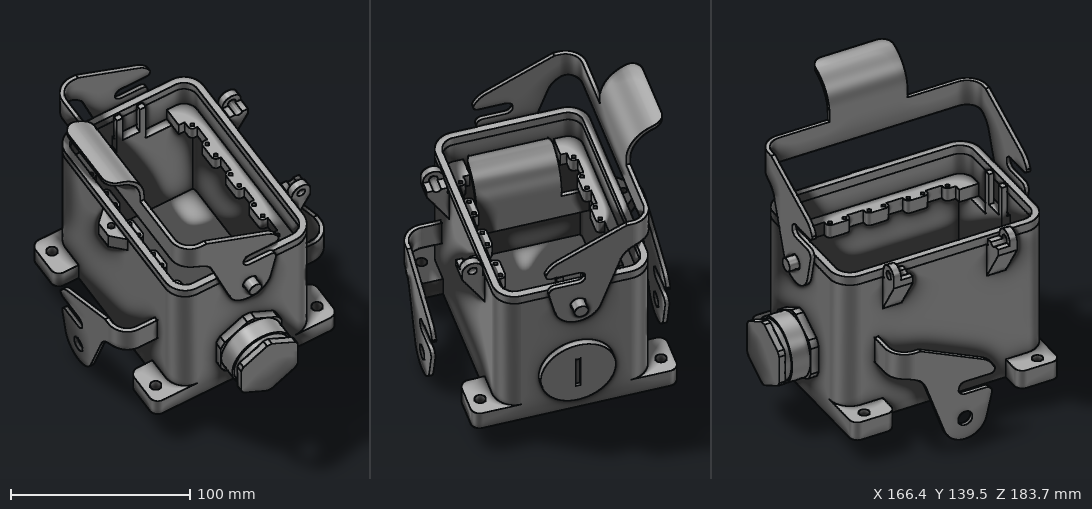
import cadquery as cq
import math


LENGTH = 132.1
WIDTH = 90.6
CORNER_R = 13.0
WALL = 4.2
FLOOR = WALL
BODY_TOP = 94.3
RIM_TOP = 100.0
INNER_LENGTH = LENGTH - 2 * WALL
INNER_WIDTH = WIDTH - 2 * WALL
INNER_R = CORNER_R - WALL

LEDGE_TOP = 80.7
LEDGE_HEIGHT = 8.5
LEDGE_BOTTOM = LEDGE_TOP - LEDGE_HEIGHT
OPENING_LENGTH = 98.3
OPENING_WIDTH = 60.7
END_OPENING_WIDTH = 53.0
TAB_PITCH = 25.0
NOTCH_PLACES = [i * TAB_PITCH for i in (-1.5, -0.5, 0.5, 1.5)]
NOTCH_WIDTH = 10.3
NOTCH_DEPTH = 4.5
TAB_R = 2.8
INSERT_HOLE_D = 2.4
INSERT_HOLE_SPACING = 9.2
INSERT_HOLE_Y = OPENING_WIDTH / 2 + TAB_R
END_WALL_X = 56.6

POST_TOP = 101.0
POST_THICKNESS = 3.3
POST_WIDTH = 3.9
POST_SPAN = 19.0

FOOT_HEIGHT = 12.1
FOOT_LENGTH = 26.8
FOOT_SPAN = 120.5
FOOT_R = 5.3
FOOT_HOLE_D = 6.5
FOOT_HOLE_X = 55.3
FOOT_HOLE_Y = 53.0

LUG_HEIGHT = 10.0
LUG_DEPTH = 7.9
LUG_BASE = 26.1
LUG_HOLE_D = 4.0
LUG_HOLE_OFFSET = 2.8

HINGE_Y = 52.4
HINGE_Z = 99.6
HINGE_R = 6.0
HINGE_HOLE_D = 5.1
HINGE_FOOT_Z = 72.8
EAR_OUTER_X = 39.3
EAR_THICKNESS = 4.6
CRADLE_LENGTH = 7.5
CRADLE_TOP = 98.5

PIN_D = 8.0
PIN_END_X = 75.9
PIN_Z = 87.3

ENTRY_Z = 32.0
PLUG_D = 44.0
PLUG_THICKNESS = 3.9
PLUG_SLOT_WIDTH = 3.0
PLUG_SLOT_LENGTH = 21.3
PLUG_SLOT_DEPTH = 1.8
FLANGE_FLATS = 39.9
FLANGE_D = 43.4
FLANGE_LENGTH = 5.1
SLEEVE_D = 39.3
SLEEVE_LENGTH = 11.5
NECK_D = 37.0
NECK_LENGTH = 3.9
NUT_FLATS = 37.3
NUT_D = 41.4
NUT_LENGTH = 4.0

LEVER_WIDTH = 139.5
SHEET = 2.5
BEND_R = 12.5
STRAP_REACH = 44.5
STRAP_LOW = 38.2
STRAP_HIGH = 54.8
PIVOT_R = 14.0
PIVOT_HOLE_D = 9.0
NECK_ANGLE = 70.6
NECK_FILLET = 14.9
HEEL_ANGLE = 103.0
HEEL_FILLET = 3.9
SLOT_RISE = 20.8
SLOT_WIDTH = 8.5
HOOK_FLANK = (-11.0, 36.4)
HOOK_MIDDLE = (-15.8, 33.0)
HOOK_SIDE = (-19.0, 28.3)
HOOK_NOSE = (-18.4, 26.1)
HOOK_TIP_REACH = -16.5
HOOK_RIDGE_REACH = 28.5
GRIP_WIDTH = 49.8
GRIP_START = 59.4
GRIP_R = 20.5
GRIP_CORNER_R = 7.5


def block(x0, x1, y0, y1, z0, z1):
    """Box between two opposite corners."""
    return cq.Workplane("XY").box(x1 - x0, y1 - y0, z1 - z0, centered=False).translate((x0, y0, z0))


def rounded_prism(length, width, radius, z0, z1):
    """Upright prism, centred on Z, with rounded vertical edges."""
    prism = cq.Workplane("XY").box(length, width, z1 - z0, centered=(True, True, False))
    return prism.edges("|Z").fillet(radius).translate((0, 0, z0))


def cavity(z0, z1):
    return rounded_prism(INNER_LENGTH, INNER_WIDTH, INNER_R, z0, z1)


def shell_with_feet():
    shell = rounded_prism(LENGTH, WIDTH, CORNER_R, 0, BODY_TOP)
    foot_x = (LENGTH - FOOT_LENGTH) / 2
    feet = (
        cq.Workplane("XY")
        .pushPoints([(-foot_x, 0), (foot_x, 0)])
        .box(FOOT_LENGTH, FOOT_SPAN, FOOT_HEIGHT, centered=(True, True, False))
        .edges("|Z")
        .fillet(FOOT_R)
    )
    holes = (
        cq.Workplane("XY")
        .rect(2 * FOOT_HOLE_X, 2 * FOOT_HOLE_Y, forConstruction=True)
        .vertices()
        .circle(FOOT_HOLE_D / 2)
        .extrude(FOOT_HEIGHT)
    )
    return shell.union(feet).cut(cavity(FLOOR, BODY_TOP)).cut(holes)


def ledge():
    """Plate around the cavity with rounded tabs, notches between them and small insert holes."""
    z0, z1 = LEDGE_BOTTOM, LEDGE_TOP
    half_opening = OPENING_WIDTH / 2
    plate = cavity(z0, z1)
    plate = plate.cut(block(-INNER_LENGTH / 2, INNER_LENGTH / 2,
                            -END_OPENING_WIDTH / 2, END_OPENING_WIDTH / 2, z0, z1))
    plate = plate.cut(block(-OPENING_LENGTH / 2, OPENING_LENGTH / 2, -half_opening, half_opening, z0, z1))

    notch_reach = half_opening + NOTCH_DEPTH
    for x in NOTCH_PLACES:
        notch = block(x - NOTCH_WIDTH / 2, x + NOTCH_WIDTH / 2, -notch_reach, notch_reach, z0, z1)
        plate = plate.cut(notch)
    tab_edges = cq.selectors.BoxSelector(
        (-OPENING_LENGTH / 2 + TAB_R, -half_opening - TAB_R / 2, z0),
        (OPENING_LENGTH / 2 - TAB_R, half_opening + TAB_R / 2, z1),
    )
    plate = plate.edges("|Z").edges(tab_edges).fillet(TAB_R)

    hole_places = []
    for notch_x in NOTCH_PLACES:
        for side in (-1, 1):
            x = notch_x + side * (TAB_PITCH - INSERT_HOLE_SPACING) / 2
            hole_places += [(x, -INSERT_HOLE_Y), (x, INSERT_HOLE_Y)]
    holes = (
        cq.Workplane("XY", origin=(0, 0, z0))
        .pushPoints(hole_places)
        .circle(INSERT_HOLE_D / 2)
        .extrude(LEDGE_HEIGHT)
    )
    return plate.cut(holes)


def end_walls():
    """Thick lower walls at both ends of the cavity, up to the underside of the ledge."""
    core = block(-END_WALL_X, END_WALL_X, -INNER_WIDTH / 2, INNER_WIDTH / 2, FLOOR, LEDGE_BOTTOM)
    return cavity(FLOOR, LEDGE_BOTTOM).cut(core)


def coding_posts():
    """Two posts on a low base on the -X end wall."""
    half_span = POST_SPAN / 2
    posts = block(-INNER_LENGTH / 2, -END_WALL_X, -half_span, half_span, LEDGE_BOTTOM, LEDGE_TOP)
    for y in (-half_span, half_span - POST_WIDTH):
        post = block(-END_WALL_X - POST_THICKNESS, -END_WALL_X, y, y + POST_WIDTH, LEDGE_TOP, POST_TOP)
        posts = posts.union(post)
    return posts


def front_lug():
    wall_y = -WIDTH / 2
    half_base = LUG_BASE / 2
    half_face = half_base - LUG_DEPTH
    return (
        cq.Workplane("XY", origin=(0, 0, BODY_TOP - LUG_HEIGHT))
        .polyline([
            (-half_base, wall_y),
            (-half_face, wall_y - LUG_DEPTH),
            (half_face, wall_y - LUG_DEPTH),
            (half_base, wall_y),
        ])
        .close()
        .extrude(LUG_HEIGHT)
        .cut(
            cq.Workplane("XY", origin=(0, wall_y - LUG_HOLE_OFFSET, BODY_TOP - LUG_HEIGHT))
            .circle(LUG_HOLE_D / 2)
            .extrude(LUG_HEIGHT)
        )
    )


def hinge_slice(x, length):
    """Bracket with a round eye, from x to x + length."""
    wall_y = WIDTH / 2
    return (
        cq.Workplane("YZ", origin=(x, 0, 0))
        .moveTo(wall_y, HINGE_FOOT_Z)
        .lineTo(HINGE_Y + HINGE_R, BODY_TOP)
        .lineTo(HINGE_Y + HINGE_R, HINGE_Z)
        .threePointArc((HINGE_Y, HINGE_Z + HINGE_R), (HINGE_Y - HINGE_R, HINGE_Z))
        .lineTo(HINGE_Y - HINGE_R, BODY_TOP)
        .lineTo(wall_y, BODY_TOP)
        .close()
        .extrude(length)
        .cut(
            cq.Workplane("YZ", origin=(x, HINGE_Y, HINGE_Z))
            .circle(HINGE_HOLE_D / 2)
            .extrude(length)
        )
    )


def hinge():
    """Hinge on the +X half: a full ear with an open cradle on its inner side."""
    ear_x = EAR_OUTER_X - EAR_THICKNESS
    cradle_x = ear_x - CRADLE_LENGTH
    above = block(cradle_x, ear_x, HINGE_Y - HINGE_R, HINGE_Y + HINGE_R, CRADLE_TOP, HINGE_Z + HINGE_R)
    cradle = hinge_slice(cradle_x, CRADLE_LENGTH).cut(above)
    return hinge_slice(ear_x, EAR_THICKNESS).union(cradle)


def lever_pin():
    """Pivot pin on the +X side."""
    return (
        cq.Workplane("YZ", origin=(LENGTH / 2, 0, PIN_Z))
        .circle(PIN_D / 2)
        .extrude(PIN_END_X - LENGTH / 2)
    )


def blind_plug():
    face_x = -LENGTH / 2 - PLUG_THICKNESS
    disc = cq.Workplane("YZ", origin=(face_x, 0, ENTRY_Z)).circle(PLUG_D / 2).extrude(PLUG_THICKNESS)
    slot = (
        cq.Workplane("YZ", origin=(face_x, 0, ENTRY_Z))
        .rect(PLUG_SLOT_WIDTH, PLUG_SLOT_LENGTH)
        .extrude(PLUG_SLOT_DEPTH)
    )
    return disc.cut(slot)


def turned(x, diameter, length):
    return cq.Workplane("YZ", origin=(x, 0, ENTRY_Z)).circle(diameter / 2).extrude(length)


def turned_hexagon(x, flats, diameter, length):
    """Hexagon with corners up and down, rounded off by a cylinder."""
    hexagon = (
        cq.Workplane("YZ", origin=(x, 0, ENTRY_Z))
        .polygon(6, flats, circumscribed=True)
        .extrude(length)
    )
    return hexagon.intersect(turned(x, diameter, length))


def cable_gland():
    sleeve_x = LENGTH / 2 + FLANGE_LENGTH
    neck_x = sleeve_x + SLEEVE_LENGTH
    nut_x = neck_x + NECK_LENGTH
    return (
        turned_hexagon(LENGTH / 2, FLANGE_FLATS, FLANGE_D, FLANGE_LENGTH)
        .union(turned(sleeve_x, SLEEVE_D, SLEEVE_LENGTH))
        .union(turned(neck_x, NECK_D, NECK_LENGTH))
        .union(turned_hexagon(nut_x, NUT_FLATS, NUT_D, NUT_LENGTH))
    )


def make_housing(stowed_lever):
    """Housing, relieved where the stowed lever passes through its walls."""
    body = shell_with_feet().union(ledge()).union(end_walls()).union(coding_posts())
    body = body.union(front_lug()).union(blind_plug()).union(cable_gland())
    for part in (hinge(), lever_pin()):
        body = body.union(part).union(part.mirror("YZ"))
    return body.cut(stowed_lever)


def make_rim():
    """Frame that closes the top edge of the housing."""
    return rounded_prism(LENGTH, WIDTH, CORNER_R, BODY_TOP, RIM_TOP).cut(cavity(BODY_TOP, RIM_TOP))


def tangent_point(angle, side):
    """Point of the pivot circle where an edge of this slope touches it; side +1 faces the strap."""
    a = math.radians(angle)
    return (side * PIVOT_R * math.sin(a), -side * PIVOT_R * math.cos(a))


def along(start, angle, rise):
    """Point at this rise on the line through start with this slope."""
    return (start[0] + (rise - start[1]) / math.tan(math.radians(angle)), rise)


def side_sketch(width):
    """Plane at +X half the width whose axes are reach (towards -Y) and rise; it extrudes to -X."""
    return cq.Workplane(cq.Plane(origin=(width / 2, 0, 0), xDir=(0, -1, 0), normal=(-1, 0, 0)))


def lever_side_profile():
    """Side outline of the lever, as a slab across its whole width."""
    neck_start = tangent_point(NECK_ANGLE, 1)
    neck_corner = along(neck_start, NECK_ANGLE, STRAP_LOW)
    setback = NECK_FILLET * math.tan(math.radians(NECK_ANGLE / 2))
    neck_end = along(neck_start, NECK_ANGLE, STRAP_LOW - setback * math.sin(math.radians(NECK_ANGLE)))
    strap_start = (neck_corner[0] + setback, STRAP_LOW)
    mid_angle = math.radians(NECK_ANGLE / 2)
    fillet_middle = (
        strap_start[0] - NECK_FILLET * math.sin(mid_angle),
        STRAP_LOW - NECK_FILLET * (1 - math.cos(mid_angle)),
    )
    slot_low = SLOT_RISE - SLOT_WIDTH / 2
    slot_high = SLOT_RISE + SLOT_WIDTH / 2
    heel_start = tangent_point(HEEL_ANGLE, -1)
    heel_corner = along(heel_start, HEEL_ANGLE, slot_low)
    heel_turn = math.radians(HEEL_ANGLE)
    heel_setback = HEEL_FILLET * math.tan(heel_turn / 2)
    heel_end = along(heel_start, HEEL_ANGLE, slot_low - heel_setback * math.sin(heel_turn))
    heel_center = (heel_corner[0] + heel_setback, slot_low - HEEL_FILLET)
    heel_middle = (
        heel_center[0] - HEEL_FILLET * math.sin(heel_turn / 2),
        heel_center[1] + HEEL_FILLET * math.cos(heel_turn / 2),
    )
    return (
        side_sketch(LEVER_WIDTH)
        .moveTo(*heel_start)
        .threePointArc((0, -PIVOT_R), neck_start)
        .lineTo(*neck_end)
        .threePointArc(fillet_middle, strap_start)
        .lineTo(STRAP_REACH, STRAP_LOW)
        .lineTo(STRAP_REACH, STRAP_HIGH)
        .lineTo(HOOK_RIDGE_REACH, STRAP_HIGH)
        .lineTo(*HOOK_FLANK)
        .threePointArc(HOOK_MIDDLE, HOOK_SIDE)
        .threePointArc(HOOK_NOSE, (HOOK_TIP_REACH, slot_high))
        .lineTo(0, slot_high)
        .threePointArc((SLOT_WIDTH / 2, SLOT_RISE), (0, slot_low))
        .lineTo(heel_center[0], slot_low)
        .threePointArc(heel_middle, heel_end)
        .close()
        .moveTo(0, 0)
        .circle(PIVOT_HOLE_D / 2)
        .extrude(LEVER_WIDTH)
    )


def lever_sheet():
    """U of bent sheet, open towards +Y, taller than the finished lever."""
    depth = 2 * STRAP_REACH
    z0, z1 = -PIVOT_R, STRAP_HIGH
    outside = (
        block(-LEVER_WIDTH / 2, LEVER_WIDTH / 2, -STRAP_REACH, depth - STRAP_REACH, z0, z1)
        .edges("|Z and <Y")
        .fillet(BEND_R)
    )
    inside = (
        block(-LEVER_WIDTH / 2 + SHEET, LEVER_WIDTH / 2 - SHEET, -STRAP_REACH + SHEET, depth, z0, z1)
        .edges("|Z and <Y")
        .fillet(BEND_R - SHEET)
    )
    return outside.cut(inside)


def lever_grip():
    """Finger grip that rises from the strap and curls outwards through a quarter turn."""
    outer_r = GRIP_R + SHEET
    center = (STRAP_REACH + GRIP_R, GRIP_START)
    diagonal = math.sqrt(0.5)
    curl = (
        side_sketch(GRIP_WIDTH)
        .moveTo(STRAP_REACH, STRAP_LOW)
        .lineTo(STRAP_REACH, GRIP_START)
        .threePointArc(
            (center[0] - GRIP_R * diagonal, center[1] + GRIP_R * diagonal),
            (center[0], center[1] + GRIP_R),
        )
        .lineTo(center[0], center[1] + outer_r)
        .threePointArc(
            (center[0] - outer_r * diagonal, center[1] + outer_r * diagonal),
            (STRAP_REACH - SHEET, GRIP_START),
        )
        .lineTo(STRAP_REACH - SHEET, STRAP_LOW)
        .close()
        .extrude(GRIP_WIDTH)
    )
    rounded_plan = (
        block(-GRIP_WIDTH / 2, GRIP_WIDTH / 2, -center[0], 0, STRAP_LOW, GRIP_START + outer_r)
        .edges("|Z and <Y")
        .fillet(GRIP_CORNER_R)
    )
    return curl.intersect(rounded_plan)


def make_lever():
    """Lever with its pivot on the X axis and its strap towards -Y."""
    return lever_sheet().intersect(lever_side_profile()).union(lever_grip())


lever = make_lever()
raised_lever = lever.translate((0, 0, PIN_Z))
stowed_lever = lever.rotate((0, 0, 0), (0, 0, 1), 90)
housing = make_housing(stowed_lever)
rim = make_rim()

result = cq.Compound.makeCompound([
    housing.val(),
    rim.val(),
    raised_lever.val(),
    stowed_lever.val(),
])